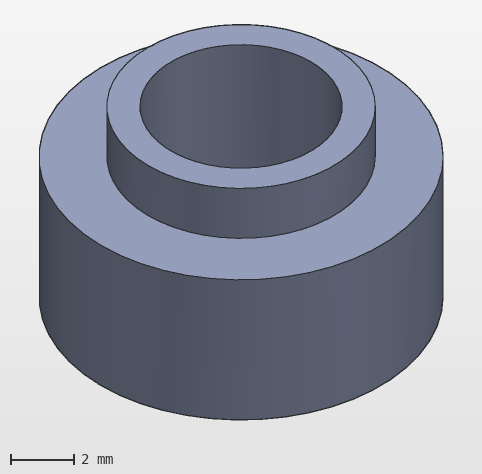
import cadquery as cq

body_diameter = 12.8
collar_diameter = 8.5
bore_diameter = 6.4
total_height = 7.6
collar_height = 2.0
body_height = total_height - collar_height

body = cq.Workplane("XY").circle(body_diameter / 2).extrude(body_height)

stepped_bushing = body.faces(">Z").workplane().circle(collar_diameter / 2).extrude(collar_height)

result = stepped_bushing.faces(">Z").workplane().hole(bore_diameter)